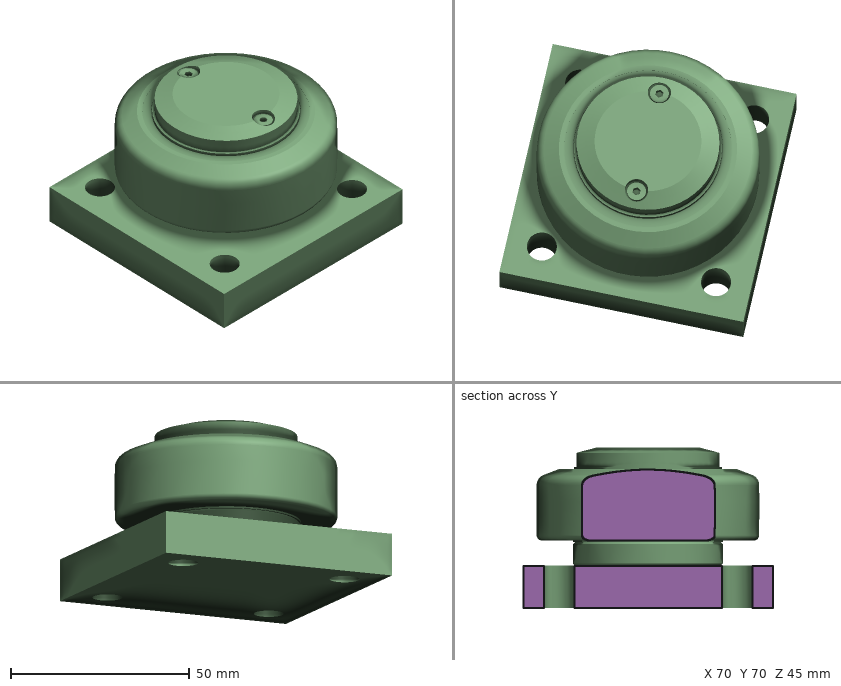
import cadquery as cq
import math

plate_side = 70
plate_height = 12.0
mount_hole_dia = 8.4
mount_hole_pitch = 50.0

post_radius = 21
post_chamfer = 0.5
post_shoulder_z = 18.0
bore_radius = 42.1 / 2

roller_edge_radius = 31.2
roller_crown = 0.1
roller_bottom = 19.0
roller_top = 39.0
roller_flat_radius = 25.0
roller_slope = 21
roller_top_fillet = 3.0
roller_bottom_fillet = 1.5
seal_radius = 47.0 / 2
seal_drop = 0.1

cap_radius = 20.0
cap_top = 45.0
cap_flat_radius = 15.0
cap_cone_height = 1.5
collar_height = 0.55
collar_radius = 41.5 / 2
collar_gap_depth = 0.5

screw_offset = cap_flat_radius
recess_dia = 6.5
head_dia = 5.3
head_depth = 1.05
recess_depth = 1.3
socket_corner_dia = 2.4
socket_depth = 1.4


def disc(radius, bottom, top):
    """Upright cylinder on the Z axis."""
    return cq.Workplane("XY").workplane(offset=bottom).circle(radius).extrude(top - bottom)


def revolved(points):
    """Solid of revolution about Z from a half profile of (radius, height) points."""
    return cq.Workplane("XZ").polyline(points).close().revolve(360, (0, 0), (0, 1))


def make_plate():
    """Square base plate with four corner mounting holes."""
    return (
        cq.Workplane("XY")
        .box(plate_side, plate_side, plate_height, centered=(True, True, False))
        .faces(">Z")
        .workplane()
        .rect(mount_hole_pitch, mount_hole_pitch, forConstruction=True)
        .vertices()
        .hole(mount_hole_dia)
    )


def make_post():
    """Post chamfered at both ends, with a slightly wider spacer against the roller."""
    end_radius = post_radius - post_chamfer
    post_top = post_shoulder_z + post_chamfer
    post = revolved([
        (0, plate_height),
        (end_radius, plate_height),
        (post_radius, plate_height + post_chamfer),
        (post_radius, post_shoulder_z),
        (end_radius, post_top),
        (0, post_top),
    ])
    return post.union(disc(bore_radius, post_top, roller_bottom))


def make_roller():
    """Crowned roller with a rounded lower edge and a sloped, rounded upper rim."""
    rim_normal = math.radians(90 - roller_slope)
    rim_centre_radius = roller_edge_radius - roller_top_fillet
    rim_start_radius = rim_centre_radius + roller_top_fillet * math.cos(rim_normal)
    slope_drop = (rim_start_radius - roller_flat_radius) / math.tan(rim_normal)
    rim_start_z = roller_top - slope_drop
    rim_centre_z = rim_start_z - roller_top_fillet * math.sin(rim_normal)
    rim_middle = (
        rim_centre_radius + roller_top_fillet * math.cos(rim_normal / 2),
        rim_centre_z + roller_top_fillet * math.sin(rim_normal / 2),
    )
    face_bottom = roller_bottom + roller_bottom_fillet
    crown_middle = (roller_edge_radius + roller_crown, (face_bottom + rim_centre_z) / 2)
    body = (
        cq.Workplane("XZ")
        .moveTo(0, roller_bottom)
        .lineTo(roller_edge_radius - roller_bottom_fillet, roller_bottom)
        .radiusArc((roller_edge_radius, face_bottom), -roller_bottom_fillet)
        .threePointArc(crown_middle, (roller_edge_radius, rim_centre_z))
        .threePointArc(rim_middle, (rim_start_radius, rim_start_z))
        .lineTo(roller_flat_radius, roller_top)
        .lineTo(0, roller_top)
        .close()
        .revolve(360, (0, 0), (0, 1))
    )
    seal_recess = disc(seal_radius, roller_top - seal_drop, roller_top)
    collar_gap = disc(bore_radius, roller_top - collar_gap_depth, roller_top)
    return body.cut(seal_recess).cut(collar_gap)


def make_cap():
    """Domed cap standing on a collar that sinks into the gap in the roller."""
    collar_bottom = roller_top - collar_gap_depth
    collar_top = roller_top + collar_height
    cap = revolved([
        (0, collar_bottom),
        (collar_radius, collar_bottom),
        (collar_radius, collar_top),
        (cap_radius, collar_top),
        (cap_radius, cap_top - cap_cone_height),
        (cap_flat_radius, cap_top),
        (0, cap_top),
    ])
    for side in (-1, 1):
        cap = cap.cut(screw_recess(side * screw_offset))
    return cap


def screw_recess(x):
    """Void around and above a screw: straight recess, conical floor around the head, hexagon socket."""
    head_radius = head_dia / 2
    recess_radius = recess_dia / 2
    head_z = cap_top - head_depth
    cone_z = cap_top - recess_depth
    recess = revolved([
        (0, head_z),
        (head_radius, head_z),
        (head_radius, cone_z - (recess_radius - head_radius)),
        (recess_radius, cone_z),
        (recess_radius, cap_top),
        (0, cap_top),
    ])
    socket = (
        cq.Workplane("XY")
        .workplane(offset=head_z)
        .polygon(6, socket_corner_dia)
        .extrude(-socket_depth)
    )
    return recess.union(socket).translate((x, 0, 0))


result = make_plate().union(make_post()).union(make_roller()).union(make_cap())